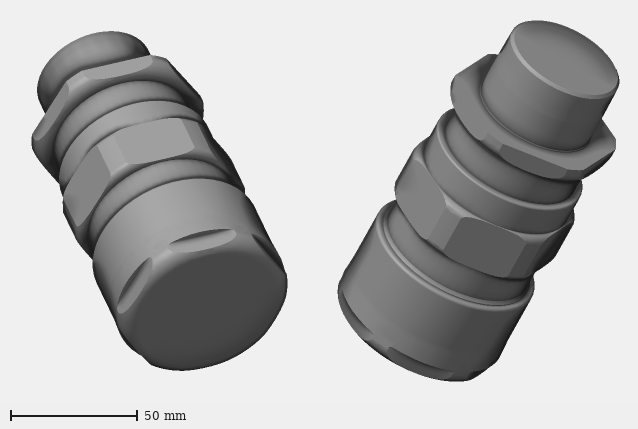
import cadquery as cq
import math


thread_cone_end = 14.0
hex_flange_start = 28.5
hex_flange_end = 36.7
entry_end = 37.6
spigot_end = 52.0
union_hex_start = 64.8
union_end = 86.8
barrel_end = 100.5
seal_cone_end = 101.6
back_nut_start = 102.0
flare_blend_start = 124.1
flare_blend_end = 126.2
back_nut_flats_start = 133.9
back_nut_rounding_start = 135.9
gland_end = 142.3

across_flats = 64.8
corner_diameter = 70.7
corner_radius = corner_diameter / 2

tip_diameter = 45.4
tip_chamfer_length = 1.1
cone_start_diameter = 47.8
thread_diameter = 48.2
thread_root_fillet = 0.5
flange_rounding = 5.3

spigot_diameter = 57.5
entry_neck_diameter = spigot_diameter
collar_diameter = 63.9
collar_edge_fillet = 0.9
union_hex_rounding = 3.1
barrel_diameter = 62.0
seal_outer_diameter = 64.5

back_nut_diameter = 69.6
back_nut_edge_fillet = 1.3
flat_root_fillet = 0.9


def disc(start, end, diameter):
    """Cylinder on the X axis between two axial places."""
    return cq.Workplane("YZ", origin=(start, 0, 0)).circle(diameter / 2).extrude(end - start)


def revolve_about_axis(outline):
    """Turn a closed outline in the XY plane (Y is the radius) about the X axis."""
    return outline.close().revolve(360, (0, 0, 0), (1, 0, 0))


def hex_bar(start, end):
    """Hexagonal bar with two flats facing up and down."""
    point_to_point = across_flats / math.cos(math.pi / 6)
    return cq.Workplane("YZ", origin=(start, 0, 0)).polygon(6, point_to_point).extrude(end - start)


def make_entry():
    """Closed threaded end with a chamfered tip, a hexagonal flange and a short neck."""
    thread = revolve_about_axis(
        cq.Workplane("XY")
        .moveTo(0, 0)
        .lineTo(0, tip_diameter / 2)
        .lineTo(tip_chamfer_length, cone_start_diameter / 2)
        .lineTo(thread_cone_end, thread_diameter / 2)
        .lineTo(hex_flange_start - thread_root_fillet, thread_diameter / 2)
        .radiusArc((hex_flange_start, thread_diameter / 2 + thread_root_fillet), thread_root_fillet)
        .lineTo(hex_flange_start, 0)
    )
    flange_blank = disc(hex_flange_start, hex_flange_end, corner_diameter)
    rounded_blank = flange_blank.faces(">X").edges().fillet(flange_rounding)
    flange = rounded_blank.intersect(hex_bar(hex_flange_start, hex_flange_end))
    neck = disc(hex_flange_end, entry_end, entry_neck_diameter)
    return thread.union(flange).union(neck)


def make_spigot():
    """Plain cylinder between the entry and the union nut."""
    return disc(entry_end, spigot_end, spigot_diameter)


def make_union_nut():
    """Round collar followed by a hexagon with both ends rounded."""
    collar_blank = disc(spigot_end, union_hex_start, collar_diameter)
    collar = collar_blank.faces("<X").edges().fillet(collar_edge_fillet)
    hexagon_blank = disc(union_hex_start, union_end, corner_diameter)
    rounded_blank = hexagon_blank.faces("<X or >X").edges().fillet(union_hex_rounding)
    hexagon = rounded_blank.intersect(hex_bar(union_hex_start, union_end))
    return collar.union(hexagon)


def make_barrel():
    """Plain cylinder between the union nut and the seal."""
    return disc(union_end, barrel_end, barrel_diameter)


def make_seal():
    """Seal with a cone that widens to a narrow cylindrical rim at the back nut."""
    return revolve_about_axis(
        cq.Workplane("XY")
        .moveTo(barrel_end, 0)
        .lineTo(barrel_end, barrel_diameter / 2)
        .lineTo(seal_cone_end, seal_outer_diameter / 2)
        .lineTo(back_nut_start, seal_outer_diameter / 2)
        .lineTo(back_nut_start, 0)
    )


def make_back_nut():
    """Round nut that flares out to a rounded end with six flats."""
    radius = back_nut_diameter / 2
    blend_middle = (flare_blend_start + flare_blend_end) / 2
    flare_slope = (corner_radius - radius) / (back_nut_rounding_start - blend_middle)
    blend_end_radius = radius + flare_slope * (flare_blend_end - blend_middle)
    end_rounding = gland_end - back_nut_rounding_start

    body = revolve_about_axis(
        cq.Workplane("XY")
        .moveTo(back_nut_start, 0)
        .lineTo(back_nut_start, radius - back_nut_edge_fillet)
        .radiusArc((back_nut_start + back_nut_edge_fillet, radius), back_nut_edge_fillet)
        .lineTo(flare_blend_start, radius)
        .tangentArcPoint((flare_blend_end, blend_end_radius), relative=False)
        .lineTo(back_nut_rounding_start, corner_radius)
        .radiusArc((gland_end, corner_radius - end_rounding), end_rounding)
        .lineTo(gland_end, 0)
    )

    cutter_diameter = 2 * corner_diameter
    surround = disc(back_nut_flats_start, gland_end, cutter_diameter)
    flat_cutter = surround.cut(hex_bar(back_nut_flats_start, gland_end))
    rounded_cutter = flat_cutter.faces("<X").edges("%LINE").fillet(flat_root_fillet)
    return body.cut(rounded_cutter)


entry = make_entry()
spigot = make_spigot()
union_nut = make_union_nut()
barrel = make_barrel()
seal = make_seal()
back_nut = make_back_nut()

result = cq.Compound.makeCompound(
    [entry.val(), spigot.val(), union_nut.val(), barrel.val(), seal.val(), back_nut.val()]
)